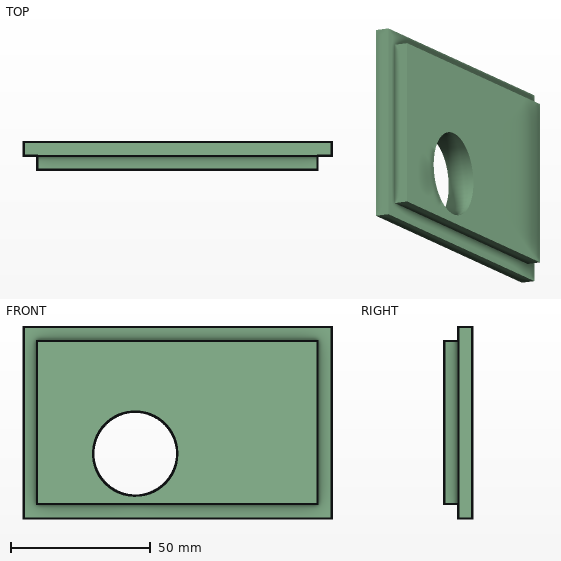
import cadquery as cq

plate_width = 110.3
plate_height = 68.6
total_thickness = 10.0
plate_thickness = total_thickness / 2

panel_width = 100.3
panel_height = 58.4
panel_thickness = total_thickness - plate_thickness
panel_left_margin = 4.9
panel_bottom_margin = 5.2

hole_diameter = 30.0
hole_from_left = 39.9
hole_from_bottom = 23.3


def block(left, bottom, width, height, front, thickness):
    """Box placed by its lower left front corner."""
    box = cq.Workplane("XY").box(width, thickness, height, centered=False)
    return box.translate((left, front, bottom))


plate = block(0, 0, plate_width, plate_height, 0, plate_thickness)
panel = block(
    panel_left_margin,
    panel_bottom_margin,
    panel_width,
    panel_height,
    -panel_thickness,
    panel_thickness,
)

hole = (
    cq.Workplane("XZ")
    .center(hole_from_left, hole_from_bottom)
    .circle(hole_diameter / 2)
    .extrude(total_thickness, both=True)
)

result = plate.union(panel).cut(hole)